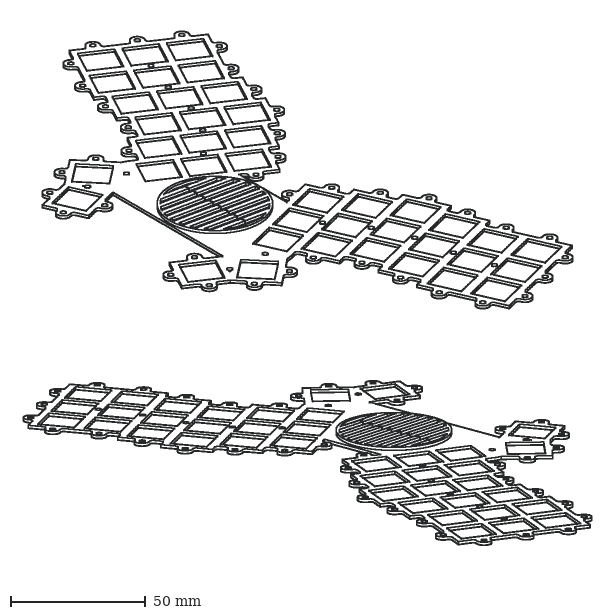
import cadquery as cq
import math

plate_thickness = 1.2
key_pitch_across = 108.1 / 6
key_pitch_along = 51.0 / 3
plate_margin = 1.0
opening_size = 14.0
corner_fillet = 1.3

finger_tilt = 25
first_column_across = 25.3
first_column_along = -11.7
stagger_steps = (0, 1, 2, 1, 0, 0)
stagger = key_pitch_along / 4
rows = (-1, 0, 1)

upper_thumb = (48.7, -36.2, 45)
lower_thumb = (36.7, -53.2, 65)

tab_diameter = 5.7
hole_diameter = 2.2
tab_overhang = tab_diameter / 2
body_hole_points = ((41.0, -26.3), (42.0, -44.0))

body_top = 5.7
body_bottom = -39.5
body_shoulder_inset = 7.8
puck_centre_y = -17.2
puck_diameter = 43.0
puck_height = 2 * plate_thickness
slot_circle_diameter = 40.6
slot_count = 9
slot_span = 40.0
slot_width = slot_span / (2 * slot_count - 1)
groove_width = 0.3
groove_floor = 0.5

cell_half_across = key_pitch_across / 2
cell_half_along = key_pitch_along / 2
plate_half_across = cell_half_across + plate_margin
plate_half_along = cell_half_along + plate_margin
tab_across = cell_half_across + tab_overhang
tab_along = cell_half_along + tab_overhang


def turned(across, along, angle):
    """Turn a point about the origin."""
    c = math.cos(math.radians(angle))
    s = math.sin(math.radians(angle))
    return (across * c - along * s, across * s + along * c)


def key_point(key, across, along):
    """Point given in the frame of a key."""
    x, y = turned(across, along, key[2])
    return (key[0] + x, key[1] + y)


def finger_key(column, row):
    """Centre and turn of a finger key."""
    across = first_column_across + column * key_pitch_across
    along = first_column_along + stagger_steps[column] * stagger + row * key_pitch_along
    return (*turned(across, along, finger_tilt), finger_tilt)


def turned_box(key, size_across, size_along):
    box = cq.Workplane("XY").rect(size_across, size_along).extrude(plate_thickness)
    return box.rotate((0, 0, 0), (0, 0, 1), key[2]).translate((key[0], key[1], 0))


def discs(points, diameter):
    return cq.Workplane("XY").pushPoints(points).circle(diameter / 2).extrude(plate_thickness)


def rounded_inside(solid):
    """Round the inside corners of a flat outline by growing and shrinking it."""
    outer_wire = solid.clean().faces("<Z").val().outerWire()
    grown_wire = outer_wire.offset2D(corner_fillet)[0]
    outline = grown_wire.offset2D(-corner_fillet)[0]
    return cq.Workplane("XY").newObject([outline]).toPending().extrude(plate_thickness)


def puck_plane(height):
    return cq.Workplane("XY").workplane(offset=height).center(0, puck_centre_y)


columns = range(len(stagger_steps))
last_column = len(stagger_steps) - 1
keys = [finger_key(column, row) for column in columns for row in rows]
keys += [upper_thumb, lower_thumb]

finger_tabs = [key_point(finger_key(column, 1), 0, tab_along) for column in columns]
finger_tabs += [key_point(finger_key(column, -1), 0, -tab_along) for column in columns[1:]]
finger_tabs += [key_point(finger_key(last_column, row), tab_across, 0) for row in rows]
finger_tabs.append(key_point(finger_key(0, 1), -tab_across, 0))
upper_thumb_tabs = [
    key_point(upper_thumb, tab_across, 0),
    key_point(upper_thumb, 0, -tab_along),
]
lower_thumb_tabs = [
    key_point(lower_thumb, -tab_across, 0),
    key_point(lower_thumb, 0, tab_along),
    key_point(lower_thumb, 0, -tab_along),
]

hole_points = finger_tabs + upper_thumb_tabs + lower_thumb_tabs + list(body_hole_points)
for column in columns[1:]:
    left = finger_key(column - 1, 0)
    right = finger_key(column, 0)
    hole_points.append(((left[0] + right[0]) / 2, (left[1] + right[1]) / 2))

first_key = finger_key(0, 0)
thumb_corner = key_point(lower_thumb, plate_half_across, plate_half_along)
body_right = [
    (0, body_top),
    (first_key[0] - body_shoulder_inset, body_top),
    first_key[:2],
    key_point(finger_key(0, -1), plate_half_across, -plate_half_along),
    key_point(upper_thumb, plate_half_across, plate_half_along),
    upper_thumb[:2],
    lower_thumb[:2],
    thumb_corner,
    (thumb_corner[0], body_bottom),
    (0, body_bottom),
]
half = cq.Workplane("XY").polyline(body_right).close().extrude(plate_thickness)

column_length = 2 * (plate_half_along + key_pitch_along)
finger_block = discs(finger_tabs, tab_diameter)
for column in columns:
    strip = turned_box(finger_key(column, 0), 2 * plate_half_across, column_length)
    finger_block = finger_block.union(strip)
half = half.union(rounded_inside(finger_block))

for key, tabs in ((upper_thumb, upper_thumb_tabs), (lower_thumb, lower_thumb_tabs)):
    cell = turned_box(key, 2 * plate_half_across, 2 * plate_half_along)
    half = half.union(rounded_inside(cell.union(discs(tabs, tab_diameter))))

plate = half.union(half.mirror("YZ")).clean()

cuts = discs(hole_points, hole_diameter)
for key in keys:
    cuts = cuts.union(turned_box(key, opening_size, opening_size))
plate = plate.cut(cuts).cut(cuts.mirror("YZ"))

puck = puck_plane(0).circle(puck_diameter / 2).extrude(puck_height)
slot_circle = puck_plane(plate_thickness).circle(slot_circle_diameter / 2).extrude(puck_height)
slots = (
    puck_plane(plate_thickness)
    .rarray(2 * slot_width, 2.5, slot_count, 1)
    .rect(slot_width, puck_diameter)
    .extrude(puck_height)
    .intersect(slot_circle)
)
groove = puck_plane(groove_floor).rect(slot_span, groove_width).extrude(puck_height)

result = plate.union(puck).cut(slots).cut(groove)